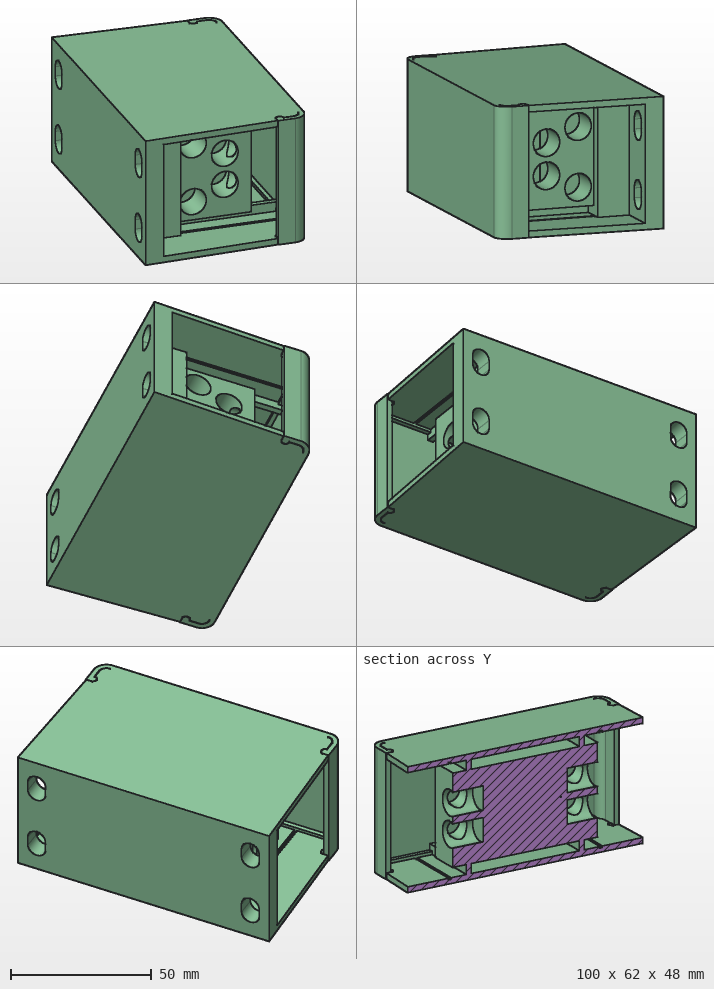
import cadquery as cq
import math

length = 100.0
depth = 62.0
height = 48.0
front_y = -depth / 2
back_y = depth / 2

cover_half_length = 48.3
cover_corner_radius = 5.0
cover_thickness = 2.0
cover_inner_radius = cover_corner_radius - cover_thickness
arm_end_y = 19.6
bead_radius = 1.4
snap_gap = 0.2
arm_end_gap = 0.1
cover_inner_x = cover_half_length - cover_thickness
cover_inner_y = back_y - cover_thickness

body_back_half_length = 48.1

side_wall = 2.4
mounting_wall = 7.0
cavity_half_height = height / 2 - side_wall
cavity_front_y = front_y + mounting_wall

core_half_length = 34.0
core_back_y = -12.0

block_half_length = 30.0
block_half_height = 18.0
block_back_y = 16.0
rib_outer_x = 24.5
rib_width = 2.2

ledge_depth = 1.8
ledge_height = 1.2

groove_x = 30.8
groove_depth = 0.6
groove_width = 1.0

socket_radius = 5.0
socket_depth = 12.0
inner_pair_y = 6.0
inner_pair_z = 6.0
outer_pair_y = -6.0
outer_pair_z = 11.0

screw_bore_x = 24.0
screw_bore_radius = 4.0
screw_bore_bottom_y = 3.9
floor_recess = 0.5

slot_width = 7.0
slot_length = 10.6
slot_x = 42.5
slot_z = 12.5


def box(x_range, y_range, z_range):
    """Box between the given limits along each axis."""
    (x0, x1), (y0, y1), (z0, z1) = x_range, y_range, z_range
    return cq.Workplane("XY").box(x1 - x0, y1 - y0, z1 - z0, centered=False).translate((x0, y0, z0))


def centred_box(half_x, y_range, half_z):
    """Box centred on X and Z."""
    return box((-half_x, half_x), y_range, (-half_z, half_z))


def both_ends(shape):
    """Shape joined with its mirror image at the other end."""
    return shape.union(shape.mirror("YZ"))


def both_sides(shape):
    """Shape joined with its mirror image across mid-height."""
    return shape.union(shape.mirror("XY"))


def make_outer_body():
    """Tapered body with the round-cornered cover across its back."""
    half = length / 2
    body = (
        cq.Workplane("XY", origin=(0, 0, -height / 2))
        .polyline([
            (-half, front_y),
            (half, front_y),
            (body_back_half_length, arm_end_y),
            (-body_back_half_length, arm_end_y),
        ])
        .close()
        .extrude(height)
    )
    cover = (
        centred_box(cover_half_length, (arm_end_y, back_y), height / 2)
        .edges("|Z and >Y")
        .fillet(cover_corner_radius)
    )
    return body.union(cover)


def make_cavity():
    """Cavity open at both ends up to the cover arms, rounded inside the cover."""
    end_openings = centred_box(length, (cavity_front_y, arm_end_y), cavity_half_height)
    inside_cover = (
        centred_box(cover_inner_x, (cavity_front_y, cover_inner_y), cavity_half_height)
        .edges("|Z and >Y")
        .fillet(cover_inner_radius)
    )
    return end_openings.union(inside_cover)


def make_snap_slit():
    """Gap between one cover arm and the end of the body, right through the height."""
    corner_x = cover_inner_x - cover_inner_radius
    corner_y = cover_inner_y - cover_inner_radius
    bead_y = arm_end_y + bead_radius
    diagonal = math.sqrt(0.5)
    inner_radius = cover_inner_radius - snap_gap
    base = cq.Workplane("XY", origin=(0, 0, -height / 2))
    arm_slit = (
        base.moveTo(corner_x, cover_inner_y)
        .threePointArc(
            (corner_x + cover_inner_radius * diagonal, corner_y + cover_inner_radius * diagonal),
            (cover_inner_x, corner_y),
        )
        .lineTo(cover_inner_x, bead_y)
        .lineTo(cover_inner_x - snap_gap, bead_y)
        .lineTo(cover_inner_x - snap_gap, corner_y)
        .threePointArc(
            (corner_x + inner_radius * diagonal, corner_y + inner_radius * diagonal),
            (corner_x, cover_inner_y - snap_gap),
        )
        .close()
        .extrude(height)
    )
    bead = base.center(cover_inner_x, bead_y).circle(bead_radius).extrude(height)
    bead_clearance = base.center(cover_inner_x, bead_y).circle(bead_radius + snap_gap).extrude(height)
    inner_half = box((0, cover_inner_x), (arm_end_y - arm_end_gap, back_y), (-height / 2, height / 2))
    end_gap = box(
        (cover_inner_x, length),
        (arm_end_y - arm_end_gap, arm_end_y),
        (-height / 2, height / 2),
    )
    return arm_slit.union(bead_clearance.intersect(inner_half)).cut(bead).union(end_gap)


def make_beads():
    """Rounded beads on one arm, only where it meets the two side walls."""
    bead = (
        cq.Workplane("XY", origin=(cover_inner_x, arm_end_y + bead_radius, cavity_half_height))
        .circle(bead_radius)
        .extrude(side_wall)
    )
    return both_sides(bead)


def make_interior():
    core = centred_box(core_half_length, (cavity_front_y, core_back_y), cavity_half_height)
    block = centred_box(block_half_length, (core_back_y, block_back_y), block_half_height)
    rib = box(
        (-rib_outer_x, -rib_outer_x + rib_width),
        (core_back_y, cover_inner_y),
        (-cavity_half_height, -block_half_height),
    )
    ledge = box(
        (-cover_inner_x + cover_inner_radius, cover_inner_x - cover_inner_radius),
        (cover_inner_y - ledge_depth, cover_inner_y),
        (-cavity_half_height, -cavity_half_height + ledge_height),
    )
    return core.union(block).union(both_sides(both_ends(rib))).union(both_sides(ledge))


def make_socket(y, z, socket_length):
    """Socket in the -X end of the block."""
    return (
        cq.Workplane("YZ", origin=(-block_half_length, y, z))
        .circle(socket_radius)
        .extrude(socket_length)
    )


def make_sockets():
    inner_socket = make_socket(inner_pair_y, inner_pair_z, socket_depth)
    outer_socket = make_socket(outer_pair_y, outer_pair_z, socket_depth)
    deeper_part = make_socket(inner_pair_y, inner_pair_z, socket_depth + floor_recess).intersect(
        centred_box(block_half_length, (screw_bore_bottom_y, block_back_y), block_half_height)
    )
    return both_sides(both_ends(inner_socket.union(deeper_part).union(outer_socket)))


def make_screw_bores():
    bore = (
        cq.Workplane("XZ", origin=(-screw_bore_x, screw_bore_bottom_y, inner_pair_z))
        .circle(screw_bore_radius)
        .extrude(screw_bore_bottom_y - block_back_y)
    )
    return both_sides(both_ends(bore))


def make_grooves():
    groove = box(
        (-groove_x - groove_width, -groove_x),
        (core_back_y, cover_inner_y - ledge_depth),
        (-cavity_half_height - groove_depth, -cavity_half_height),
    )
    return both_sides(both_ends(groove))


def make_mounting_slots():
    return (
        cq.Workplane("XZ", origin=(0, front_y, 0))
        .rect(2 * slot_x, 2 * slot_z, forConstruction=True)
        .vertices()
        .slot2D(slot_length, slot_width, 90)
        .extrude(-mounting_wall)
    )


result = (
    make_outer_body()
    .cut(make_cavity())
    .union(both_ends(make_beads()))
    .union(make_interior())
    .cut(both_ends(make_snap_slit()))
    .cut(make_sockets())
    .cut(make_screw_bores())
    .cut(make_grooves())
    .cut(make_mounting_slots())
)